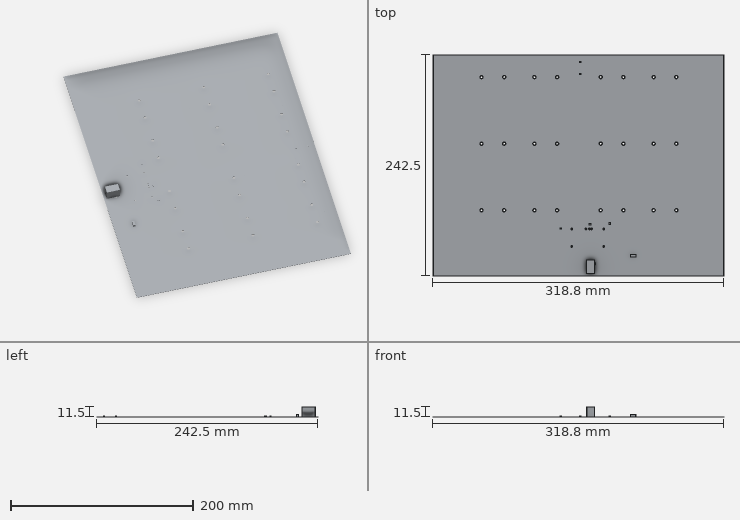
import cadquery as cq

BOARD_LENGTH = 318.8
BOARD_WIDTH = 242.5
BOARD_THICKNESS = 0.5
TOTAL_HEIGHT = 11.5

MOUNT_DIAMETER = 3.2
MOUNT_PAIR_PITCH = 25.0
MOUNT_CENTER_X = 0.55
INNER_COLUMN_OFFSET = 36.3
OUTER_COLUMN_OFFSET = 94.5
MOUNT_ROW_PITCH = 73.0
MIDDLE_ROW_Y = 24.0

CORNER_HOLE_DIAMETER = 1.5
CORNER_HOLE_SPAN_X = 35.0
CORNER_HOLE_SPAN_Y = 19.0
CORNER_HOLE_CENTER_X = 10.2
HOLE_LINE_Y = -69.5

LEAD_HOLE_DIAMETER = 1.4
LEAD_HOLE_XS = (8.3, 12.0, 14.5)

CONNECTOR_LENGTH_X = 8.5
CONNECTOR_LENGTH_Y = 14.7
CONNECTOR_X = 13.5
CONNECTOR_Y = -111.0
CONNECTOR_HOLE_DIAMETER = 2.2
CONNECTOR_HOLE_X = 17.5
CONNECTOR_HOLE_Y = -107.7

COMPONENT_SIZE = (6.0, 2.5, 2.5)
COMPONENT_POSITION = (60.0, -98.8)

CHIP_HEIGHT = 0.8
CHIPS = (
    ((1.5, 1.3), (-19.5, -69.2)),
    ((2.2, 1.3), (12.8, -64.5)),
    ((1.5, 2.2), (34.5, -63.8)),
    ((1.5, 1.0), (2.2, 113.5)),
    ((1.5, 1.3), (2.2, 100.5)),
)


def mount_points():
    columns = (-OUTER_COLUMN_OFFSET, -INNER_COLUMN_OFFSET, INNER_COLUMN_OFFSET, OUTER_COLUMN_OFFSET)
    return [
        (MOUNT_CENTER_X + column + side * MOUNT_PAIR_PITCH / 2, MIDDLE_ROW_Y + row * MOUNT_ROW_PITCH)
        for column in columns
        for side in (-1, 1)
        for row in (-1, 0, 1)
    ]


def corner_hole_points():
    return [
        (CORNER_HOLE_CENTER_X + side * CORNER_HOLE_SPAN_X / 2, y)
        for side in (-1, 1)
        for y in (HOLE_LINE_Y, HOLE_LINE_Y - CORNER_HOLE_SPAN_Y)
    ]


def drill(plate, points, diameter):
    return plate.faces(">Z").workplane(origin=(0, 0, 0)).pushPoints(points).hole(diameter)


def make_board():
    plate = cq.Workplane("XY").box(
        BOARD_LENGTH, BOARD_WIDTH, BOARD_THICKNESS, centered=(True, True, False)
    )
    plate = drill(plate, mount_points(), MOUNT_DIAMETER)
    plate = drill(plate, corner_hole_points(), CORNER_HOLE_DIAMETER)
    plate = drill(plate, [(x, HOLE_LINE_Y) for x in LEAD_HOLE_XS], LEAD_HOLE_DIAMETER)
    return drill(plate, [(CONNECTOR_HOLE_X, CONNECTOR_HOLE_Y)], CONNECTOR_HOLE_DIAMETER)


def make_block(size, position):
    """A rectangular block standing on the board."""
    return (
        cq.Workplane("XY", origin=(*position, BOARD_THICKNESS))
        .box(*size, centered=(True, True, False))
    )


board = make_board()
connector = make_block(
    (CONNECTOR_LENGTH_X, CONNECTOR_LENGTH_Y, TOTAL_HEIGHT - BOARD_THICKNESS),
    (CONNECTOR_X, CONNECTOR_Y),
)
component = make_block(COMPONENT_SIZE, COMPONENT_POSITION)
chips = [make_block((*footprint, CHIP_HEIGHT), position) for footprint, position in CHIPS]

result = cq.Compound.makeCompound(
    [board.val(), connector.val(), component.val(), *[chip.val() for chip in chips]]
)